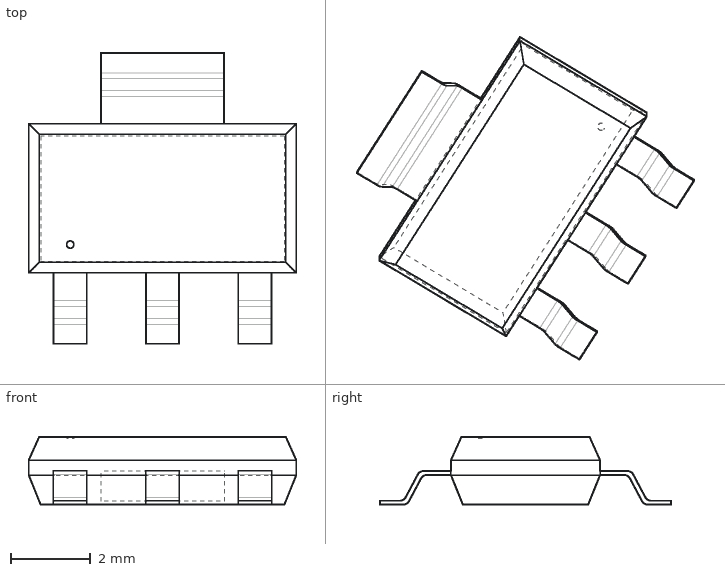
import cadquery as cq
import math

OVERALL_LENGTH_Y = 7.29
HOUSING_LENGTH_X = 6.71
HOUSING_WIDTH_Y = 3.74
HOUSING_HEIGHT = 1.7

BAND_BOTTOM_Z = 0.74
BAND_TOP_Z = 1.115
TOP_INSET = 0.26
BOTTOM_INSET = 0.3

MARK_DIAMETER = 0.18
MARK_DEPTH = 0.04
MARK_Y = -1.16

SHEET_THICKNESS = 0.1
SLOPE_THICKNESS = 0.125
BEND_ANGLE = math.radians(62)
BEND_RADIUS = 0.17
FOOT_LENGTH = 0.495
LEAD_WIDTH = 0.84
LEAD_PITCH = 2.31
TAB_WIDTH = 3.09


def tapered_half(base_z, end_z, inset):
    """Frustum from the full housing outline at base_z to an inset outline at end_z."""
    return (
        cq.Workplane("XY", origin=(0, 0, base_z))
        .rect(HOUSING_LENGTH_X, HOUSING_WIDTH_Y)
        .workplane(offset=end_z - base_z)
        .rect(HOUSING_LENGTH_X - 2 * inset, HOUSING_WIDTH_Y - 2 * inset)
        .loft(ruled=True)
    )


def make_housing():
    """Molded housing with a shallow round index mark in its top face."""
    band = (
        cq.Workplane("XY", origin=(0, 0, BAND_BOTTOM_Z))
        .rect(HOUSING_LENGTH_X, HOUSING_WIDTH_Y)
        .extrude(BAND_TOP_Z - BAND_BOTTOM_Z)
    )
    upper_half = tapered_half(BAND_TOP_Z, HOUSING_HEIGHT, TOP_INSET)
    lower_half = tapered_half(BAND_BOTTOM_Z, 0, BOTTOM_INSET)
    index_mark = (
        cq.Workplane("XY", origin=(-LEAD_PITCH, MARK_Y, HOUSING_HEIGHT))
        .circle(MARK_DIAMETER / 2)
        .extrude(-MARK_DEPTH)
    )
    return band.union(upper_half).union(lower_half).cut(index_mark)


def make_terminal(width):
    """Gull-wing strip running from the +Y housing face out to the tip, centred on X = 0."""
    tip_y = OVERALL_LENGTH_Y / 2
    face_y = HOUSING_WIDTH_Y / 2
    shoulder_bottom_z = BAND_BOTTOM_Z
    shoulder_top_z = shoulder_bottom_z + SHEET_THICKNESS

    corner_shift = SLOPE_THICKNESS / math.sin(BEND_ANGLE) - SHEET_THICKNESS / math.tan(BEND_ANGLE)
    slope_run = shoulder_bottom_z / math.tan(BEND_ANGLE)
    foot_top_y = tip_y - FOOT_LENGTH - BEND_RADIUS * math.tan(BEND_ANGLE / 2)
    foot_bottom_y = foot_top_y - corner_shift
    shoulder_top_y = foot_top_y - slope_run
    shoulder_bottom_y = foot_bottom_y - slope_run

    strip = (
        cq.Workplane("YZ", origin=(-width / 2, 0, 0))
        .polyline([
            (face_y, shoulder_bottom_z),
            (shoulder_bottom_y, shoulder_bottom_z),
            (foot_bottom_y, 0),
            (tip_y, 0),
            (tip_y, SHEET_THICKNESS),
            (foot_top_y, SHEET_THICKNESS),
            (shoulder_top_y, shoulder_top_z),
            (face_y, shoulder_top_z),
        ])
        .close()
        .extrude(width)
    )

    def bend_edge(y, z):
        return cq.selectors.NearestToPointSelector((0, y, z))

    bend_edges = (
        bend_edge(shoulder_bottom_y, shoulder_bottom_z)
        + bend_edge(shoulder_top_y, shoulder_top_z)
        + bend_edge(foot_bottom_y, 0)
        + bend_edge(foot_top_y, SHEET_THICKNESS)
    )
    return strip.edges("|X").edges(bend_edges).fillet(BEND_RADIUS)


def make_lead(x):
    """One narrow lead on the -Y side, centred at the given X."""
    return make_terminal(LEAD_WIDTH).rotate((0, 0, 0), (0, 0, 1), 180).translate((x, 0, 0))


housing = make_housing()
tab = make_terminal(TAB_WIDTH)
leads = [make_lead(position * LEAD_PITCH) for position in (-1, 0, 1)]

result = cq.Compound.makeCompound([
    housing.val(),
    tab.val(),
    *[lead.val() for lead in leads],
])